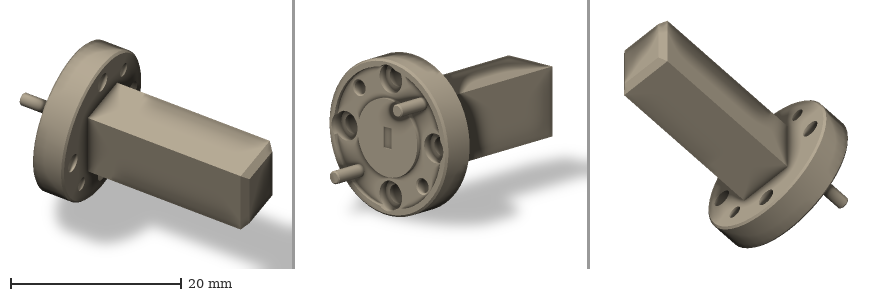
import cadquery as cq
import math


OVERALL_LENGTH = 29.27

FLANGE_DIAMETER = 19.05
FLANGE_THICKNESS = 4.17
FLANGE_CHAMFER = 0.25

BOSS_DIAMETER = FLANGE_DIAMETER / 2
RIM_INNER_DIAMETER = 0.9 * FLANGE_DIAMETER
RELIEF_DEPTH = 0.58

WINDOW_WIDTH = 1.3
WINDOW_HEIGHT = 2.58
WINDOW_DEPTH = 0.25

BOLT_CIRCLE_RADIUS = 0.75 * FLANGE_DIAMETER / 2
BOLT_ANGLES = (0, 90, 180, 270)
SCREW_HOLE_DIAMETER = 2.3
COUNTERBORE_DIAMETER = 3.6
COUNTERBORE_DEPTH = 1.65
GUIDE_ANGLES = (45, 225)
GUIDE_HOLE_DIAMETER = 1.7
GUIDE_HOLE_CHAMFER = 0.17

PIN_ANGLES = (-45, 135)
PIN_DIAMETER = 1.5875
PIN_PROTRUSION = 3.79
PIN_CHAMFER = 0.15

BODY_WIDTH = 7.0
BODY_HEIGHT = 8.55
BODY_LENGTH = OVERALL_LENGTH - PIN_PROTRUSION - FLANGE_THICKNESS
BODY_CHAMFER = 0.762


def bolt_circle_point(angle):
    """(Y, Z) of the place at this angle, in degrees, on the bolt circle."""
    turn = math.radians(angle)
    return BOLT_CIRCLE_RADIUS * math.cos(turn), BOLT_CIRCLE_RADIUS * math.sin(turn)


def bolt_circle_points(angles):
    return [bolt_circle_point(angle) for angle in angles]


def cross_section(x):
    """Plane at this x; its local axes are Y and Z and it extrudes toward +X."""
    return cq.Workplane("YZ", origin=(x, 0, 0))


def cylinders(angles, diameter, start, end):
    """One cylinder along X, from start to end, at each bolt circle angle."""
    circles = cross_section(start).pushPoints(bolt_circle_points(angles))
    return circles.circle(diameter / 2).extrude(end - start)


def make_relief():
    rings = cross_section(0).circle(RIM_INNER_DIAMETER / 2).circle(BOSS_DIAMETER / 2)
    return rings.extrude(RELIEF_DEPTH)


def make_guide_hole(angle):
    """Through hole whose mouth, on the relief floor, is countersunk at 45 degrees."""
    hole = cylinders([angle], GUIDE_HOLE_DIAMETER, RELIEF_DEPTH, FLANGE_THICKNESS)
    y, z = bolt_circle_point(angle)
    hole_radius = GUIDE_HOLE_DIAMETER / 2
    mouth = cq.Solid.makeCone(
        hole_radius + GUIDE_HOLE_CHAMFER,
        hole_radius,
        GUIDE_HOLE_CHAMFER,
        cq.Vector(RELIEF_DEPTH, y, z),
        cq.Vector(1, 0, 0),
    )
    return hole.union(cq.Workplane(obj=mouth))


def make_flange():
    disc = cross_section(0).circle(FLANGE_DIAMETER / 2).extrude(FLANGE_THICKNESS)
    flange = disc.edges().chamfer(FLANGE_CHAMFER)
    flange = flange.cut(make_relief())
    flange = flange.cut(cross_section(0).rect(WINDOW_WIDTH, WINDOW_HEIGHT).extrude(WINDOW_DEPTH))
    flange = flange.cut(cylinders(BOLT_ANGLES, COUNTERBORE_DIAMETER, 0, COUNTERBORE_DEPTH))
    flange = flange.cut(cylinders(BOLT_ANGLES, SCREW_HOLE_DIAMETER, 0, FLANGE_THICKNESS))
    flange = flange.cut(cylinders(PIN_ANGLES, PIN_DIAMETER, 0, FLANGE_THICKNESS))
    for angle in GUIDE_ANGLES:
        flange = flange.cut(make_guide_hole(angle))
    return flange


def make_pin(angle):
    """Pin flush with the flange back, chamfered at its free front end."""
    pin = cylinders([angle], PIN_DIAMETER, -PIN_PROTRUSION, FLANGE_THICKNESS)
    return pin.faces("<X").chamfer(PIN_CHAMFER)


def make_load_body():
    block = cross_section(FLANGE_THICKNESS).rect(BODY_WIDTH, BODY_HEIGHT).extrude(BODY_LENGTH)
    return block.faces(">X").chamfer(BODY_CHAMFER)


flange = make_flange()
load_body = make_load_body()
pins = [make_pin(angle) for angle in PIN_ANGLES]

result = cq.Compound.makeCompound([flange.val(), load_body.val(), *[pin.val() for pin in pins]])